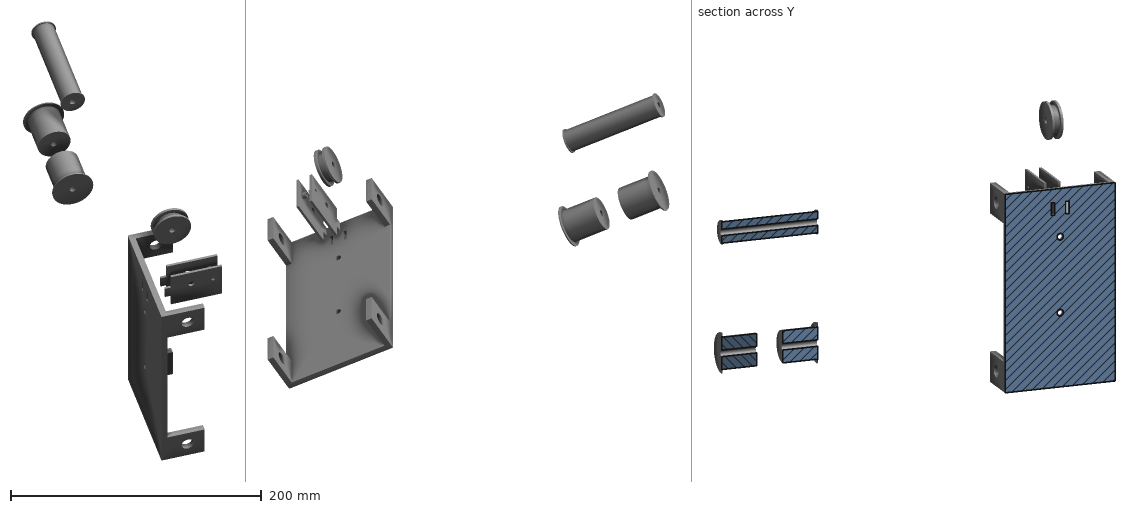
import cadquery as cq

overall_length = 336.0
overall_depth = 77.3
overall_height = 232.0
bore_diameter = 5.0

bracket_width = 94.0
bracket_height = 165.3
bracket_depth = 36.0
bracket_front = 15.0
wall = 5.0
ear_height = 25.2
ear_hole_diameter = 10.0
ear_hole_from_back = 14.0
mounting_hole_heights = (61.8, 125.0)
bracket_center_x = overall_length - bracket_width / 2
bracket_back = bracket_front + bracket_depth
ear_hole_y = bracket_back - ear_hole_from_back
upper_ear_hole_z = bracket_height - ear_height / 2

plate_thickness = 2.0
plate_gap = 10.0
plate_depth = 42.5
plate_height = 31.2
plate_center_x = bracket_center_x
plate_front = overall_depth - plate_depth
plate_bottom = bracket_height - plate_height
tab_height = 9.5
tab_drop = 1.0
tab_length = wall
tab_center_z = plate_bottom + plate_height / 2 - tab_drop
slot_clearance = 0.5
boss_diameter = 5.0
boss_length = 3.5
boss_bore_diameter = 3.0
boss_from_back = 7.0
axle_hole_from_boss = 18.0
boss_y = overall_depth - boss_from_back
axle_hole_y = boss_y - axle_hole_from_boss

pulley_flange_diameter = 31.0
pulley_core_diameter = 24.5
pulley_width = 9.5
pulley_flange_thickness = 2.0
pulley_z = overall_height - pulley_flange_diameter / 2

roller_length = 82.3
roller_flange_thickness = 1.0
roller_core_diameter = 18.0
roller_flange_diameter = 20.0
roller_z = 159.0
spool_core_diameter = 27.2
spool_flange_diameter = 34.0
spool_half_length = 30.2
spool_z = 58.5
roller_y = spool_flange_diameter / 2


def box(x, y, z, dx, dy, dz):
    """Box with its lowest corner at (x, y, z)."""
    return cq.Workplane("XY").box(dx, dy, dz, centered=False).translate((x, y, z))


def x_cylinder(diameter, x, y, z, length):
    """Cylinder along +X that starts at (x, y, z)."""
    return cq.Workplane("YZ").circle(diameter / 2).extrude(length).translate((x, y, z))


def make_bracket():
    left = overall_length - bracket_width
    body = box(left, bracket_front, 0, bracket_width, wall, bracket_height)

    for ear_x in (left, overall_length - wall):
        for ear_z in (0, bracket_height - ear_height):
            body = body.union(box(ear_x, bracket_front, ear_z, wall, bracket_depth, ear_height))
    for hole_z in (ear_height / 2, upper_ear_hole_z):
        body = body.cut(x_cylinder(ear_hole_diameter, left, ear_hole_y, hole_z, bracket_width))

    for hole_z in mounting_hole_heights:
        hole = cq.Workplane("XZ").circle(bore_diameter / 2).extrude(-wall)
        body = body.cut(hole.translate((bracket_center_x, bracket_front, hole_z)))

    slot_width = plate_thickness + 2 * slot_clearance
    slot_height = tab_height + 2 * slot_clearance
    slot_offset = (plate_gap + plate_thickness) / 2
    for side in (-1, 1):
        slot_x = plate_center_x + side * slot_offset - slot_width / 2
        slot_z = tab_center_z - slot_height / 2
        body = body.cut(box(slot_x, bracket_front, slot_z, slot_width, wall, slot_height))
    return body


def make_plate(side):
    """Plate on one side of the gap (-1 left, 1 right), with its boss pointing inward."""
    inner_x = plate_center_x + side * plate_gap / 2
    left = min(inner_x, inner_x + side * plate_thickness)
    plate = box(left, plate_front, plate_bottom, plate_thickness, plate_depth, plate_height)

    tab_y = plate_front - tab_length
    tab_z = tab_center_z - tab_height / 2
    plate = plate.union(box(left, tab_y, tab_z, plate_thickness, tab_length, tab_height))

    boss = x_cylinder(boss_diameter, inner_x, boss_y, upper_ear_hole_z, -side * boss_length)
    plate = plate.union(boss)
    drill_x = plate_center_x
    drill_length = side * (plate_gap / 2 + plate_thickness)
    boss_bore = x_cylinder(boss_bore_diameter, drill_x, boss_y, upper_ear_hole_z, drill_length)
    axle_hole = x_cylinder(bore_diameter, drill_x, axle_hole_y, upper_ear_hole_z, drill_length)
    return plate.cut(boss_bore).cut(axle_hole)


def make_flanged_roller(core_diameter, flange_diameter, x, y, z, length, flange_thickness, flange_starts):
    """Bored roller along X with a flange starting at each given distance from its left end."""
    body = x_cylinder(core_diameter, x, y, z, length)
    for start in flange_starts:
        body = body.union(x_cylinder(flange_diameter, x + start, y, z, flange_thickness))
    return body.cut(x_cylinder(bore_diameter, x, y, z, length))


def make_pulley():
    left = plate_center_x - pulley_width / 2
    flange_starts = (0, pulley_width - pulley_flange_thickness)
    return make_flanged_roller(
        pulley_core_diameter, pulley_flange_diameter, left, ear_hole_y, pulley_z,
        pulley_width, pulley_flange_thickness, flange_starts,
    )


def make_long_roller():
    flange_starts = (0, roller_length - roller_flange_thickness)
    return make_flanged_roller(
        roller_core_diameter, roller_flange_diameter, 0, roller_y, roller_z,
        roller_length, roller_flange_thickness, flange_starts,
    )


def make_spool_half(left, flange_start):
    return make_flanged_roller(
        spool_core_diameter, spool_flange_diameter, left, roller_y, spool_z,
        spool_half_length, roller_flange_thickness, (flange_start,),
    )


bracket = make_bracket()
plates = [make_plate(side) for side in (-1, 1)]
pulley = make_pulley()
long_roller = make_long_roller()

spool_placements = (
    (0, 0),
    (roller_length - spool_half_length, spool_half_length - roller_flange_thickness),
)
spool_halves = [make_spool_half(left, flange_start) for left, flange_start in spool_placements]

result = cq.Compound.makeCompound([
    bracket.val(),
    *[plate.val() for plate in plates],
    pulley.val(),
    long_roller.val(),
    *[half.val() for half in spool_halves],
])